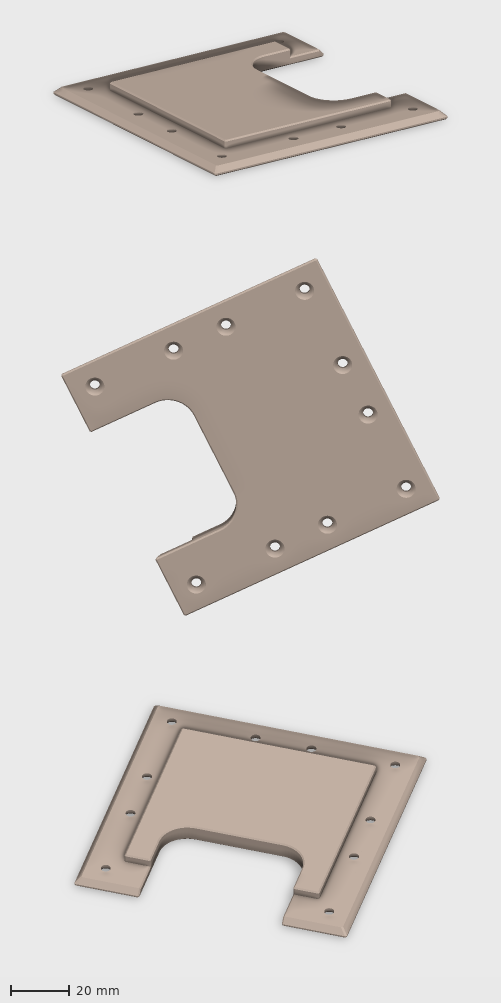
import cadquery as cq

TOTAL_HEIGHT = 6.0

PLATE_SIDE = 97.6
PLATE_THICKNESS = TOTAL_HEIGHT / 2
PLATE_BEVEL = 2.0

PAD_SIDE = 69.8

NOTCH_WIDTH = 51.0
NOTCH_DEPTH = 34.7
NOTCH_RADIUS = 10.0

HOLE_DIAMETER = 3.4
SINK_DIAMETER = 6.5
HOLE_OUTER = 40.0
HOLE_INNER = HOLE_OUTER / 4

EDGE_BREAK = 0.5


def make_block(side, height):
    """Square block standing on Z = 0."""
    return cq.Workplane("XY").rect(side, side).extrude(height)


def make_notch():
    """Cutter for the notch, rounded at its two inner corners."""
    notch_middle = (PLATE_SIDE - NOTCH_DEPTH) / 2
    notch = (
        cq.Workplane("XY")
        .center(0, notch_middle)
        .rect(NOTCH_WIDTH, NOTCH_DEPTH)
        .extrude(TOTAL_HEIGHT)
    )
    return notch.edges("|Z and <Y").fillet(NOTCH_RADIUS)


def notch_edge_selector():
    """Plate edges around the notch: its upper rim and the ends of its walls in the back edge."""
    reach = NOTCH_WIDTH / 2 + EDGE_BREAK
    back = PLATE_SIDE / 2
    rim = cq.selectors.BoxSelector(
        (-reach, 0, PLATE_THICKNESS - EDGE_BREAK),
        (reach, back, TOTAL_HEIGHT),
    )
    wall_ends = cq.selectors.BoxSelector(
        (-reach, back - PLATE_BEVEL, 0),
        (reach, back + EDGE_BREAK, PLATE_THICKNESS),
    )
    return rim + wall_ends


def make_plate():
    """Notched plate with a wide bevel around its rim and broken corner and notch edges."""
    plate = make_block(PLATE_SIDE, PLATE_THICKNESS).faces(">Z").edges().chamfer(PLATE_BEVEL)
    corner_edges = plate.edges("not (#X or #Y or #Z)").add(plate.edges("|Z"))
    plate = corner_edges.chamfer(EDGE_BREAK).cut(make_notch())
    return plate.edges(notch_edge_selector()).chamfer(EDGE_BREAK)


def make_pad():
    """Notched pad reaching down to Z = 0, with its upright corners and upper edges broken."""
    pad = make_block(PAD_SIDE, TOTAL_HEIGHT).cut(make_notch())
    pad = pad.edges("|Z and (<X or >X or >Y)").chamfer(EDGE_BREAK)
    return pad.faces(">Z").edges().chamfer(EDGE_BREAK)


def make_holes():
    """Cutter for the screw holes: four along each side and two more along the front."""
    side_holes = [
        (x, y)
        for x in (-HOLE_OUTER, HOLE_OUTER)
        for y in (-HOLE_OUTER, -HOLE_INNER, HOLE_INNER, HOLE_OUTER)
    ]
    front_holes = [(x, -HOLE_OUTER) for x in (-HOLE_INNER, HOLE_INNER)]

    hole_radius = HOLE_DIAMETER / 2
    sink_radius = SINK_DIAMETER / 2
    sink_depth = sink_radius - hole_radius
    half_section = [
        (0, 0),
        (sink_radius, 0),
        (hole_radius, sink_depth),
        (hole_radius, TOTAL_HEIGHT),
        (0, TOTAL_HEIGHT),
    ]
    hole = cq.Workplane("XZ").polyline(half_section).close().revolve(360, (0, 0), (0, 1)).val()
    return cq.Workplane("XY").pushPoints(side_holes + front_holes).eachpoint(hole)


body = make_plate().union(make_pad())
body = body.faces("<Z").edges().chamfer(EDGE_BREAK)
result = body.cut(make_holes())